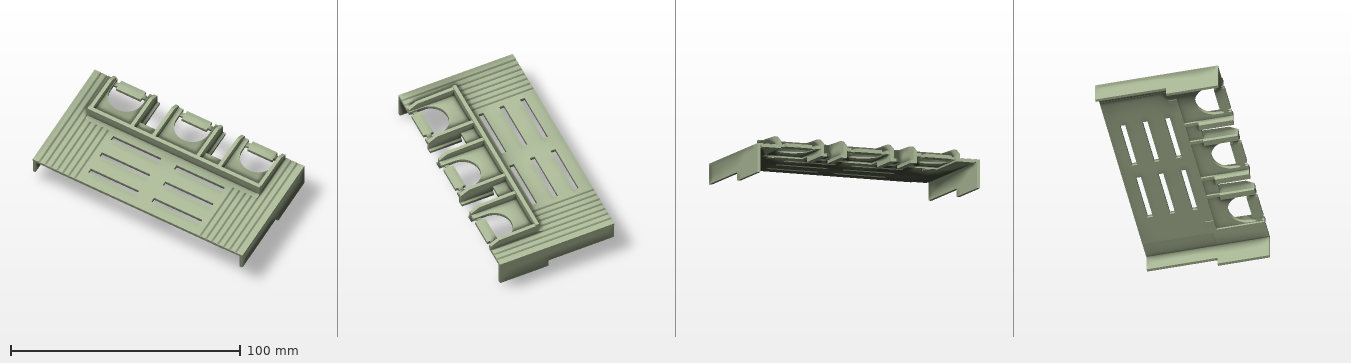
import cadquery as cq

LENGTH = 105.0
DEPTH = 55.0
HEIGHT = 18.5
X_EDGE = LENGTH / 2
Y_BACK = DEPTH / 2
Y_FRONT = -DEPTH / 2

PLATE_TOP = 12.8
PLATE_THICKNESS = 1.6
PLATE_BOTTOM = PLATE_TOP - PLATE_THICKNESS
WING_BOTTOM = PLATE_TOP - 1.4
EDGE_BOTTOM = PLATE_TOP - 1.2
EDGE_STRIP_WIDTH = 2.3

LEG_THICKNESS = 1.4
LEG_SETBACK = 0.1
FRONT_LEG_BOTTOM = 3.7
BACK_LEG_BOTTOM = 0.0

WALL_HALF_LENGTH = 43.0
WALL_FRONT = 4.3
WALL_BACK = WALL_FRONT + 1.7
FOOT_TOP = PLATE_TOP + 0.5
FOOT_FRONT = WALL_FRONT - 2.1

FLOOR_TOP = 13.6
FLOOR_BOTTOM = FLOOR_TOP - PLATE_THICKNESS

BAY_PITCH = 33.0
RIB_THICKNESS = 1.6
RIB_TOP_AT_WALL = 17.7
RIB_TOP_AT_BREAK = 17.1
RIB_TOP_AT_BACK = 14.7
RIB_BREAK_Y = Y_BACK - 4.0

OPENING_RADIUS = 8.1
OPENING_CENTRE_Y = Y_BACK - 6.3
TAB_LENGTH = 12.4
TAB_WIDTH = 4.8
ARM_WIDTH = 2.1
ARM_DROP = 0.8

NOTCH_DEPTH = 15.4
NOTCH_HALF_WIDTH = 4.6
HOOK_GAP = 6.7
HOOK_BOTTOM = 9.0
HOOK_LIP_TOP = 10.4

SLOT_LENGTH = 24.2
SLOT_WIDTH = 2.3
SLOT_X = 15.9
SLOT_FIRST_Y = -0.6
SLOT_PITCH = 10.0
SLOT_ROWS = 3

GROOVE_WIDTH = 1.0
GROOVE_DEPTH = 0.5
GROOVE_FIRST_X = 49.1
GROOVE_LAST_X = 31.4
GROOVE_COUNT = 7
GROOVE_PITCH = (GROOVE_FIRST_X - GROOVE_LAST_X) / (GROOVE_COUNT - 1)

PAD_X = 37.0
PAD_WIDTH = 2.3
PAD_BOTTOM = PLATE_BOTTOM - 0.3

CLEARANCE = 1.0
SIDES = (-1, 1)


def block(x0, x1, y0, y1, z0, z1):
    """Box between two corners; x0 and x1 may come in either order."""
    box = cq.Workplane("XY").box(abs(x1 - x0), y1 - y0, z1 - z0, centered=False)
    return box.translate((min(x0, x1), y0, z0))


def extrude_along_x(points, x0, x1):
    """Prism of a (y, z) outline; x0 and x1 may come in either order."""
    prism = cq.Workplane("YZ").polyline(points).close().extrude(abs(x1 - x0))
    return prism.translate((min(x0, x1), 0, 0))


def extrude_along_y(points, y0, y1):
    """Prism of an (x, z) outline from y0 to y1."""
    return cq.Workplane("XZ", origin=(0, y1, 0)).polyline(points).close().extrude(y1 - y0)


def make_plate():
    wing_end = X_EDGE - EDGE_STRIP_WIDTH
    plate = block(-X_EDGE, X_EDGE, Y_FRONT, Y_BACK, EDGE_BOTTOM, PLATE_TOP)
    plate = plate.union(block(-wing_end, wing_end, Y_FRONT, WALL_FRONT, WING_BOTTOM, PLATE_TOP))
    plate = plate.union(block(-wing_end, wing_end, WALL_FRONT, Y_BACK, PLATE_BOTTOM, PLATE_TOP))
    plate = plate.union(
        block(-WALL_HALF_LENGTH, WALL_HALF_LENGTH, Y_FRONT, WALL_FRONT, PLATE_BOTTOM, PLATE_TOP)
    )
    for side in SIDES:
        for i in range(GROOVE_COUNT):
            plate = plate.cut(groove(side * (GROOVE_FIRST_X - i * GROOVE_PITCH)))
    return plate


def groove(x):
    half = GROOVE_WIDTH / 2
    outline = [(x - half, PLATE_TOP), (x + half, PLATE_TOP), (x, PLATE_TOP - GROOVE_DEPTH)]
    return extrude_along_y(outline, Y_FRONT, Y_BACK)


def leg(side):
    outside = side * X_EDGE
    inside = side * (X_EDGE - LEG_THICKNESS)
    front = block(outside, inside, Y_FRONT + LEG_SETBACK, Y_BACK, FRONT_LEG_BOTTOM, EDGE_BOTTOM)
    back = block(outside, inside, WALL_FRONT, Y_BACK, BACK_LEG_BOTTOM, EDGE_BOTTOM)
    return front.union(back)


def slots():
    cutter = cq.Workplane("XY")
    for side in SIDES:
        for row in range(SLOT_ROWS):
            centre = (side * SLOT_X, SLOT_FIRST_Y - row * SLOT_PITCH, PLATE_TOP)
            slot = cq.Workplane("XY").box(SLOT_LENGTH, SLOT_WIDTH, 2 * PLATE_THICKNESS + CLEARANCE)
            cutter = cutter.add(slot.translate(centre))
    return cutter.combine()


def wall_and_foot():
    outline = [
        (FOOT_FRONT, PLATE_BOTTOM),
        (FOOT_FRONT, PLATE_TOP),
        (WALL_FRONT, FOOT_TOP),
        (WALL_FRONT, HEIGHT),
        (WALL_BACK, HEIGHT),
        (WALL_BACK, PLATE_BOTTOM),
    ]
    return extrude_along_x(outline, -WALL_HALF_LENGTH, WALL_HALF_LENGTH)


def rib(x0, x1):
    outline = [
        (WALL_FRONT, PLATE_BOTTOM),
        (WALL_FRONT, RIB_TOP_AT_WALL),
        (RIB_BREAK_Y, RIB_TOP_AT_BREAK),
        (Y_BACK, RIB_TOP_AT_BACK),
        (Y_BACK, PLATE_BOTTOM),
    ]
    return extrude_along_x(outline, x0, x1)


def notch(x):
    return block(
        x - NOTCH_HALF_WIDTH, x + NOTCH_HALF_WIDTH,
        Y_BACK - NOTCH_DEPTH, Y_BACK,
        PLATE_BOTTOM - CLEARANCE, FLOOR_TOP,
    )


def notch_side(x, side):
    """Rib on one side of the notch at x, with the hooked rail below it."""
    inside = x + side * NOTCH_HALF_WIDTH
    outside = inside + side * RIB_THICKNESS
    tip = x + side * HOOK_GAP / 2
    hook_front = Y_BACK - NOTCH_DEPTH
    stem = block(inside, outside, hook_front, Y_BACK, HOOK_BOTTOM, FLOOR_BOTTOM)
    lip = block(tip, outside, hook_front, Y_BACK, HOOK_BOTTOM, HOOK_LIP_TOP)
    return rib(inside, outside).union(stem).union(lip)


def opening(x):
    bottom = PLATE_BOTTOM - CLEARANCE
    height = FLOOR_TOP - bottom
    end = cq.Workplane("XY", origin=(x, OPENING_CENTRE_Y, bottom)).circle(OPENING_RADIUS).extrude(height)
    return end.union(
        block(x - OPENING_RADIUS, x + OPENING_RADIUS, OPENING_CENTRE_Y, Y_BACK, bottom, FLOOR_TOP)
    )


def tab(x):
    """Tab level with the floor, and two arms that slope down to the sides of the opening."""
    half = TAB_LENGTH / 2
    centre_y = Y_BACK - TAB_WIDTH / 2
    body = block(x - half, x + half, Y_BACK - TAB_WIDTH, Y_BACK, FLOOR_BOTTOM, FLOOR_TOP)
    arm_outline = [
        (x - half, FLOOR_BOTTOM),
        (x - half, FLOOR_TOP),
        (x - OPENING_RADIUS, FLOOR_TOP - ARM_DROP),
        (x - OPENING_RADIUS, FLOOR_BOTTOM),
    ]
    arm = extrude_along_y(arm_outline, centre_y - ARM_WIDTH / 2, centre_y + ARM_WIDTH / 2)
    mirrored_arm = arm.mirror("YZ", (x, 0, 0))
    return body.union(arm).union(mirrored_arm)


def pad(side):
    centre = side * PAD_X
    return block(
        centre - PAD_WIDTH / 2, centre + PAD_WIDTH / 2, FOOT_FRONT, WALL_BACK, PAD_BOTTOM, PLATE_BOTTOM
    )


def bay_zone(bottom, top):
    """Slab covering the whole area of the bays behind the wall's front face."""
    return block(-WALL_HALF_LENGTH, WALL_HALF_LENGTH, WALL_FRONT, Y_BACK, bottom, top)


part = make_plate().cut(bay_zone(PLATE_BOTTOM, PLATE_TOP)).union(bay_zone(FLOOR_BOTTOM, FLOOR_TOP))
part = part.union(wall_and_foot()).cut(slots())

for side in SIDES:
    notch_x = side * BAY_PITCH / 2
    part = part.cut(notch(notch_x))
    part = part.union(notch_side(notch_x, -1)).union(notch_side(notch_x, 1))
    part = part.union(rib(side * WALL_HALF_LENGTH, side * (WALL_HALF_LENGTH - RIB_THICKNESS)))
    part = part.union(leg(side)).union(pad(side))

for bay in (-1, 0, 1):
    bay_x = bay * BAY_PITCH
    part = part.cut(opening(bay_x)).union(tab(bay_x))

result = part